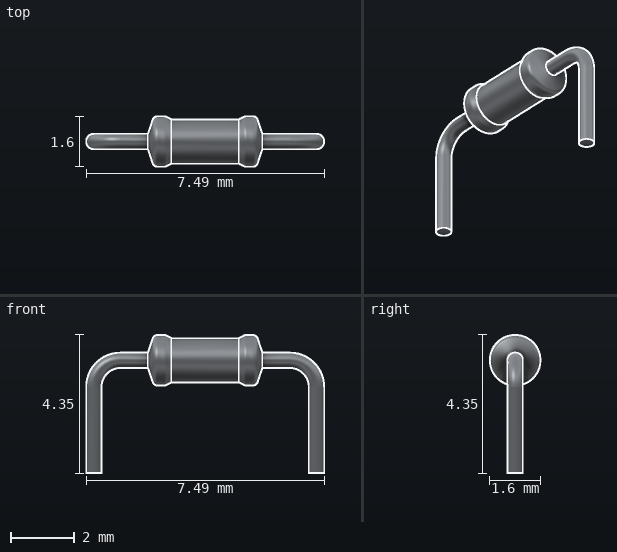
import cadquery as cq
import math

LEAD_DIAMETER = 0.49
LEAD_SPACING = 7.0
LEAD_BEND_RADIUS = 0.84
LEAD_DROP = 3.55

BODY_LENGTH = 3.6
CAP_DIAMETER = 1.6
BARREL_DIAMETER = 1.4

CAP_RIM_RADIUS = 0.175
CAP_CYLINDER_LENGTH = 0.19
END_CONE_ANGLE = math.atan(1 / 3)
SHOULDER_RADIUS = 0.175
SHOULDER_CONE_ANGLE = math.radians(27)

LEAD_RADIUS = LEAD_DIAMETER / 2
CAP_RADIUS = CAP_DIAMETER / 2
BARREL_RADIUS = BARREL_DIAMETER / 2


def arc_point(center_x, arc_radius, angle):
    """Point on a cap rounding, at an angle from +X; the rounding peaks at the cap radius."""
    return (
        center_x + arc_radius * math.cos(angle),
        CAP_RADIUS - arc_radius + arc_radius * math.sin(angle),
    )


def make_body():
    """Revolve the left half of the body and mirror it."""
    body_end = -BODY_LENGTH / 2

    cone_end_angle = math.pi - END_CONE_ANGLE
    cone_end_radius = CAP_RADIUS - CAP_RIM_RADIUS * (1 - math.sin(cone_end_angle))
    cone_end_x = body_end + (cone_end_radius - LEAD_RADIUS) * math.tan(END_CONE_ANGLE)
    rim_x = cone_end_x - CAP_RIM_RADIUS * math.cos(cone_end_angle)
    rim_mid_angle = (cone_end_angle + math.pi / 2) / 2

    shoulder_x = rim_x + CAP_CYLINDER_LENGTH
    shoulder_end_angle = math.pi / 2 - SHOULDER_CONE_ANGLE
    shoulder_mid_angle = (shoulder_end_angle + math.pi / 2) / 2
    shoulder_end = arc_point(shoulder_x, SHOULDER_RADIUS, shoulder_end_angle)
    barrel_x = shoulder_end[0] + (shoulder_end[1] - BARREL_RADIUS) / math.tan(SHOULDER_CONE_ANGLE)

    half_body = (
        cq.Workplane("XZ")
        .moveTo(body_end, 0)
        .lineTo(body_end, LEAD_RADIUS)
        .lineTo(cone_end_x, cone_end_radius)
        .threePointArc(arc_point(rim_x, CAP_RIM_RADIUS, rim_mid_angle), (rim_x, CAP_RADIUS))
        .lineTo(shoulder_x, CAP_RADIUS)
        .threePointArc(arc_point(shoulder_x, SHOULDER_RADIUS, shoulder_mid_angle), shoulder_end)
        .lineTo(barrel_x, BARREL_RADIUS)
        .lineTo(0, BARREL_RADIUS)
        .lineTo(0, 0)
        .close()
        .revolve(360, (0, 0, 0), (1, 0, 0))
    )
    return half_body.union(half_body.mirror("YZ"))


def make_left_lead():
    """Sweep the lead from the body end, around the bend and down."""
    lead_x = -LEAD_SPACING / 2
    bend_center_x = lead_x + LEAD_BEND_RADIUS
    bend_offset = LEAD_BEND_RADIUS * math.sin(math.pi / 4)
    bend_middle = (bend_center_x - bend_offset, bend_offset - LEAD_BEND_RADIUS)

    path = (
        cq.Workplane("XZ")
        .moveTo(-BODY_LENGTH / 2, 0)
        .lineTo(bend_center_x, 0)
        .threePointArc(bend_middle, (lead_x, -LEAD_BEND_RADIUS))
        .lineTo(lead_x, -LEAD_DROP)
    )
    return (
        cq.Workplane("YZ", origin=(-BODY_LENGTH / 2, 0, 0))
        .circle(LEAD_RADIUS)
        .sweep(path)
    )


left_lead = make_left_lead()
result = make_body().union(left_lead).union(left_lead.mirror("YZ"))